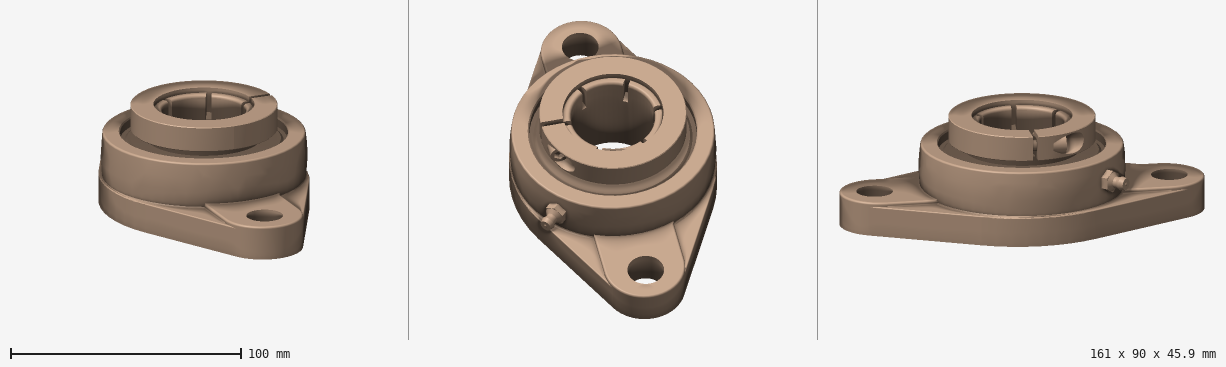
import cadquery as cq
import math

flange_length = 161.0
flange_width = 90.0
end_radius = 17.7
flange_arc_radius = 55.7
web_top = 13.2
pad_top = 15.0
edge_round = 1.0
web_edge_round = 0.5
pad_foot_round = 0.5
bolt_hole_diameter = 16.0
bolt_spacing = 130.4

boss_top = 33.5
boss_rim_radius = 44.3
boss_belly_radius = flange_width / 2
housing_bore_diameter = 73.1
housing_bore_mouth_diameter = 74.2

outer_ring_top = 29.3

seal_diameter = 69.2
seal_rim_rise = 1.0
seal_rim_radius = 33.5
seal_face_diameter = 64.0
seal_cone_rise = 0.3
seal_seat_depth = 1.6

bore_diameter = 36.5
shoulder_diameter = 50.0
sleeve_diameter = 44.0
inner_ring_top = 43.8
bore_mouth_round = 1.5
sleeve_chamfer = 0.6
slot_width = 2.4
slot_floor_at_bore = 32.5
slot_floor_at_outside = 34.6
sleeve_slot_count = 6

collar_diameter = 64.0
collar_bottom = 34.8
collar_top = 45.9
collar_edge_chamfer = 0.3

screw_y = 26.7
screw_head_diameter = 8.5
screw_recess_diameter = 9.2
screw_head_face_x = -14.0
screw_head_length = 6.0
screw_shank_diameter = 4.8
screw_shank_end_x = 9.7
socket_width = 4.8
socket_depth = 2.4

nipple_angle = 135.0
nipple_height = 24.0
nipple_hex_width = 8.5
nipple_hex_start = 43.5
nipple_hex_end = 47.8
nipple_cone_end = 49.5
nipple_neck_end = 50.9
nipple_head_widest = 52.6
nipple_head_end = 54.7
nipple_cone_radius = 4.2
nipple_neck_radius = 2.5
nipple_head_radius = 3.14
nipple_tip_radius = 2.5
nipple_nub_diameter = 1.48
nipple_nub_rise = 0.3

bearing_bottom = boss_top - outer_ring_top
seal_seat = outer_ring_top - seal_seat_depth
collar_middle = (collar_bottom + collar_top) / 2
screw_shoulder_x = screw_head_face_x + screw_head_length
end_centre_x = flange_length / 2 - end_radius


def cylinder(diameter, bottom, top):
    """Solid cylinder around the bearing axis."""
    return cq.Workplane("XY").workplane(offset=bottom).circle(diameter / 2).extrude(top - bottom)


def x_cylinder(diameter, start_x, end_x):
    """Solid cylinder around the axis of the collar screw."""
    plane = cq.Plane(origin=(start_x, screw_y, collar_middle), xDir=(0, 1, 0), normal=(1, 0, 0))
    return cq.Workplane(plane).circle(diameter / 2).extrude(end_x - start_x)


def flange_plate(height, inset=0.0):
    """Plate with two end arcs and two long side arcs joined by tangent lines, shrunk by the inset."""
    side_centre_y = flange_width / 2 - flange_arc_radius
    end_tip_x = flange_length / 2 - inset
    side_tip_y = flange_width / 2 - inset
    centre_distance = math.hypot(end_centre_x, side_centre_y)
    normal_angle = math.atan2(-side_centre_y, end_centre_x) + math.acos(
        (flange_arc_radius - end_radius) / centre_distance)
    nx = math.cos(normal_angle)
    ny = math.sin(normal_angle)
    end_x = end_centre_x + (end_radius - inset) * nx
    end_y = (end_radius - inset) * ny
    side_x = (flange_arc_radius - inset) * nx
    side_y = side_centre_y + (flange_arc_radius - inset) * ny
    return (
        cq.Workplane("XY")
        .moveTo(side_x, side_y)
        .threePointArc((0, side_tip_y), (-side_x, side_y))
        .lineTo(-end_x, end_y)
        .threePointArc((-end_tip_x, 0), (-end_x, -end_y))
        .lineTo(-side_x, -side_y)
        .threePointArc((0, -side_tip_y), (side_x, -side_y))
        .lineTo(end_x, -end_y)
        .threePointArc((end_tip_x, 0), (end_x, end_y))
        .close()
        .extrude(height)
    )


def bolt_pads():
    """Raised strip along X that carries both bolt holes."""
    return cq.Workplane("XY").slot2D(flange_length, 2 * end_radius).extrude(pad_top)


def pad_feet():
    """Concave rounds where the straight sides of the bolt pads meet the webs."""
    foot_y = end_radius + pad_foot_round
    foot = (
        cq.Workplane("YZ")
        .workplane(offset=-end_centre_x)
        .moveTo(0, web_top)
        .lineTo(foot_y, web_top)
        .radiusArc((end_radius, web_top + pad_foot_round), pad_foot_round)
        .lineTo(0, web_top + pad_foot_round)
        .close()
        .extrude(2 * end_centre_x)
    )
    return foot.union(foot.mirror("XZ"))


def boss():
    """Boss with a bulged wall and a rounded top edge."""
    wall_top = boss_top - edge_round
    return (
        cq.Workplane("XZ")
        .lineTo(boss_rim_radius, 0)
        .lineTo(boss_rim_radius, web_top)
        .threePointArc((boss_belly_radius, (web_top + wall_top) / 2), (boss_rim_radius, wall_top))
        .radiusArc((boss_rim_radius - edge_round, boss_top), -edge_round)
        .lineTo(0, boss_top)
        .close()
        .revolve(360, (0, 0, 0), (0, 1, 0))
    )


def boss_foot(floor):
    """Concave round where the boss rises from a floor at the given height."""
    return (
        cq.Workplane("XZ")
        .moveTo(boss_rim_radius - edge_round, floor)
        .lineTo(boss_rim_radius + edge_round, floor)
        .radiusArc((boss_rim_radius, floor + edge_round), edge_round)
        .lineTo(boss_rim_radius - edge_round, floor + edge_round)
        .close()
        .revolve(360, (0, 0, 0), (0, 1, 0))
    )


def make_housing():
    plate = flange_plate(web_top).faces(">Z").edges().fillet(web_edge_round)
    pads = bolt_pads().faces(">Z").edges().fillet(edge_round)
    pad_strip = cq.Workplane("XY").box(flange_length, 2 * end_radius, 2 * boss_top)
    foot_on_pads = boss_foot(pad_top).intersect(pad_strip)
    foot_on_webs = boss_foot(web_top).intersect(flange_plate(boss_top, web_edge_round))
    body = plate.union(pads).union(pad_feet()).union(boss()).union(foot_on_pads).union(foot_on_webs)
    body = body.cut(cylinder(housing_bore_diameter, 0, boss_top))
    mouth_depth = (housing_bore_mouth_diameter - housing_bore_diameter) / 2
    body = body.faces(">Z").edges("%CIRCLE").edges(
        cq.selectors.RadiusNthSelector(0)).chamfer(mouth_depth)
    holes = (
        cq.Workplane("XY")
        .pushPoints([(-bolt_spacing / 2, 0), (bolt_spacing / 2, 0)])
        .circle(bolt_hole_diameter / 2)
        .extrude(pad_top)
    )
    return body.cut(holes)


def make_outer_ring():
    body = cylinder(housing_bore_diameter, bearing_bottom, outer_ring_top)
    body = body.cut(cylinder(shoulder_diameter, bearing_bottom, outer_ring_top))
    return body.cut(cylinder(seal_diameter, seal_seat, outer_ring_top))


def make_seal():
    rim_top = outer_ring_top + seal_rim_rise
    return (
        cq.Workplane("XZ")
        .moveTo(shoulder_diameter / 2, seal_seat)
        .lineTo(seal_diameter / 2, seal_seat)
        .lineTo(seal_diameter / 2, outer_ring_top)
        .lineTo(seal_rim_radius, rim_top)
        .lineTo(seal_face_diameter / 2, rim_top)
        .lineTo(shoulder_diameter / 2, rim_top + seal_cone_rise)
        .close()
        .revolve(360, (0, 0, 0), (0, 1, 0))
    )


def make_inner_ring():
    body = cylinder(shoulder_diameter, bearing_bottom, collar_bottom)
    sleeve = cylinder(sleeve_diameter, collar_bottom, inner_ring_top)
    body = body.union(sleeve.faces(">Z").edges().chamfer(sleeve_chamfer))
    body = body.cut(cylinder(bore_diameter, 0, inner_ring_top))
    body = body.faces(">Z").edges(cq.selectors.RadiusNthSelector(0)).fillet(bore_mouth_round)
    bore_radius = bore_diameter / 2
    sleeve_radius = sleeve_diameter / 2
    slot = (
        cq.Workplane("XZ")
        .moveTo(0, slot_floor_at_bore)
        .lineTo(bore_radius, slot_floor_at_bore)
        .lineTo(sleeve_radius, slot_floor_at_outside)
        .lineTo(sleeve_radius, inner_ring_top)
        .lineTo(0, inner_ring_top)
        .close()
        .extrude(slot_width / 2, both=True)
    )
    for index in range(sleeve_slot_count):
        angle = 90 + index * 360 / sleeve_slot_count
        body = body.cut(slot.rotate((0, 0, 0), (0, 0, 1), angle))
    return body


def make_screw():
    head = x_cylinder(screw_head_diameter, screw_head_face_x, screw_shoulder_x)
    shank = x_cylinder(screw_shank_diameter, screw_shoulder_x, screw_shank_end_x)
    return head.union(shank)


def cut_socket(screw):
    socket = (
        cq.Workplane(cq.Plane(origin=(screw_head_face_x, screw_y, collar_middle),
                              xDir=(0, 0, 1), normal=(1, 0, 0)))
        .polygon(6, socket_width / math.cos(math.pi / 6))
        .extrude(socket_depth)
    )
    return screw.cut(socket)


def make_collar(screw_shape):
    body = cylinder(collar_diameter, collar_bottom, collar_top).edges().chamfer(collar_edge_chamfer)
    body = body.cut(cylinder(sleeve_diameter, collar_bottom, collar_top))
    split = cq.Workplane("XY").box(slot_width, collar_diameter, 2 * collar_top,
                                   centered=(True, False, True))
    recess = x_cylinder(screw_recess_diameter, -collar_diameter / 2, screw_shoulder_x)
    return body.cut(split).cut(recess).cut(screw_shape)


def make_nipple(boss_shape):
    direction = (math.cos(math.radians(nipple_angle)), math.sin(math.radians(nipple_angle)), 0)
    hexagon_plane = cq.Plane(
        origin=(nipple_hex_start * direction[0], nipple_hex_start * direction[1], nipple_height),
        xDir=(0, 0, 1), normal=direction)
    hexagon = (
        cq.Workplane(hexagon_plane)
        .polygon(6, nipple_hex_width / math.cos(math.pi / 6))
        .extrude(nipple_hex_end - nipple_hex_start)
    )
    head_plane = cq.Plane(origin=(0, 0, nipple_height), xDir=direction, normal=(0, 0, 1))
    nub_radius = nipple_nub_diameter / 2
    ball_radius = (nub_radius ** 2 + nipple_nub_rise ** 2) / (2 * nipple_nub_rise)
    head = (
        cq.Workplane(head_plane)
        .moveTo(nipple_hex_start, 0)
        .lineTo(nipple_hex_start, nipple_cone_radius)
        .lineTo(nipple_hex_end, nipple_cone_radius)
        .lineTo(nipple_cone_end, nipple_neck_radius)
        .lineTo(nipple_neck_end, nipple_neck_radius)
        .lineTo(nipple_head_widest, nipple_head_radius)
        .lineTo(nipple_head_end, nipple_tip_radius)
        .lineTo(nipple_head_end, 0)
        .close()
        .revolve(360, (0, 0, 0), (1, 0, 0))
    )
    nub = (
        cq.Workplane(head_plane)
        .moveTo(nipple_head_end, 0)
        .lineTo(nipple_head_end, nub_radius)
        .radiusArc((nipple_head_end + nipple_nub_rise, 0), ball_radius)
        .close()
        .revolve(360, (0, 0, 0), (1, 0, 0))
    )
    return hexagon.union(head).union(nub).cut(boss_shape)


nipple = make_nipple(boss())
housing = make_housing()
outer_ring = make_outer_ring()
seal = make_seal()
inner_ring = make_inner_ring()
screw_blank = make_screw()
collar = make_collar(screw_blank)
screw = cut_socket(screw_blank)

result = cq.Compound.makeCompound([
    housing.val(), nipple.val(), outer_ring.val(), seal.val(),
    inner_ring.val(), collar.val(), screw.val(),
])